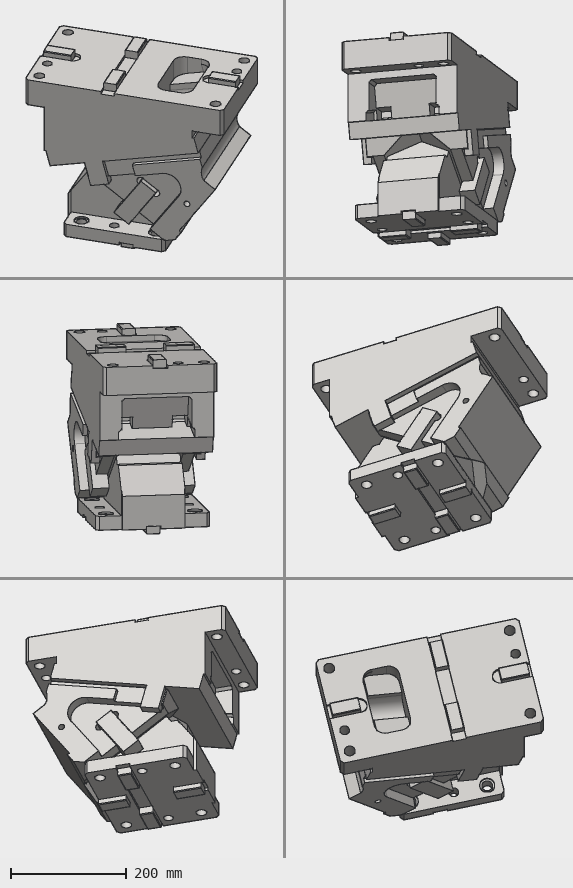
import cadquery as cq
import math


half_width = 100.0
overlap = 1.0
reach = 180.0

guide_angle = math.radians(15)
drive_angle = math.radians(35)
guide_x, guide_z = -39.0, 160.9

plate_half_length = 180.0
plate_bottom, plate_top = 249.5, 299.0
corner_chamfer = 5.6

key_rise = 9.5
key_seat = 5.0
key_length = 49.5
key_width = 24.0
key_slot_width = 26.0
key_chamfer = 1.5


def guide_point(u, v):
    """(X, Z) of a point u along the guide plane and v above it."""
    return (guide_x + u * math.cos(guide_angle) - v * math.sin(guide_angle),
            guide_z + u * math.sin(guide_angle) + v * math.cos(guide_angle))


def drive_point(s, n):
    """(X, Z) of a point s down the driver slope and n along its normal."""
    return (s * math.cos(drive_angle) + n * math.sin(drive_angle),
            -s * math.sin(drive_angle) + n * math.cos(drive_angle))


def slope_end_x(s, z):
    """X of the point at height z whose station along the driver slope is s."""
    return (s + z * math.sin(drive_angle)) / math.cos(drive_angle)


def guide_height(u, n):
    """Height above the guide plane, at station u, of the point with slope normal height n."""
    x0, z0 = guide_point(u, 0)
    n0 = x0 * math.sin(drive_angle) + z0 * math.cos(drive_angle)
    return (n - n0) / math.cos(guide_angle + drive_angle)


def guide_drive_point(v, s):
    """(X, Z) where the line at height v above the guide plane meets the line at slope station s."""
    x0, z0 = guide_point(0, v)
    s0 = x0 * math.cos(drive_angle) - z0 * math.sin(drive_angle)
    u = (s - s0) / math.cos(guide_angle + drive_angle)
    return guide_point(u, v)


def box(x0, x1, y0, y1, z0, z1):
    return cq.Workplane("XY").box(x1 - x0, y1 - y0, z1 - z0, centered=False).translate((x0, y0, z0))


def extrude_y(outline, y0, y1):
    """Extrude a closed XZ outline from y0 to y1."""
    return outline.extrude(y1 - y0).translate((0, y1, 0))


def prism(points, y0, y1):
    return extrude_y(cq.Workplane("XZ").polyline(points).close(), y0, y1)


def both_sides(shape):
    return shape.union(shape.mirror("XZ"))


def guide_rect(u0, u1, v0, v1):
    return [guide_point(u0, v0), guide_point(u1, v0), guide_point(u1, v1), guide_point(u0, v1)]


def drive_rect(s0, s1, n0, n1):
    return [drive_point(s0, n0), drive_point(s1, n0), drive_point(s1, n1), drive_point(s0, n1)]


def guide_extrusion(section, u0, u1):
    """Extrude a section of (Y, height above the guide plane) points along the guide plane."""
    x, z = guide_point(u0, 0)
    plane = cq.Plane(origin=(x, 0, z), xDir=(0, 1, 0),
                     normal=(math.cos(guide_angle), 0, math.sin(guide_angle)))
    return cq.Workplane(plane).polyline(section).close().extrude(u1 - u0)


def key_along_x(x0, z0, z1, outer_edge):
    key = box(x0, x0 + key_length, -key_width / 2, key_width / 2, z0, z1)
    return key.edges(outer_edge).chamfer(key_chamfer)


def keys_along_y(x0, x1, y_centre, z0, z1, outer_edge):
    key = box(x0, x1, y_centre - key_length / 2, y_centre + key_length / 2, z0, z1)
    return both_sides(key.edges(outer_edge).chamfer(key_chamfer))


def drill(x, y, diameter, z0, z1):
    return cq.Workplane("XY", origin=(x, y, z0)).circle(diameter / 2).extrude(z1 - z0)


body_left, body_right = -145.0, 124.0
guide_plate_left, guide_plate_right = -98.5, 180.0
guide_plate_thickness = 29.5
leg_length = 34.0
leg_depth = 44.5
flange_half_width = 92.0
flange_thickness = 33.0
hook_half_width = 85.0

top_slot_x = (-42.0, -18.0)
top_cross_key_y = 60.0
top_key_slot_length = 68.5
mount_x, mount_y, mount_diameter = 160.0, 80.0, 18.5
dowel_y_left, dowel_y_right, dowel_diameter = -35.0, 40.0, 16.5


def housing_body():
    plate = box(-plate_half_length, plate_half_length, -half_width, half_width, plate_bottom, plate_top)
    plate = plate.edges("|Z").chamfer(corner_chamfer)
    shoulder = guide_point(guide_plate_left, guide_plate_thickness)
    right_top = guide_point(guide_plate_right, guide_plate_thickness)
    web = prism([
        (body_left, plate_bottom + overlap),
        (body_left, shoulder[1]),
        shoulder,
        guide_point(guide_plate_left, 0),
        guide_point(guide_plate_right, 0),
        right_top,
        (body_right, right_top[1]),
        (body_right, plate_bottom + overlap),
    ], -half_width, half_width)
    leg = prism(guide_rect(-leg_length, 0, -leg_depth, overlap), flange_half_width, half_width)
    hook = prism(guide_rect(-leg_length, 0, -leg_depth, -flange_thickness), hook_half_width, half_width)
    return plate.union(web).union(both_sides(leg)).union(both_sides(hook))


pocket_half_width, pocket_top = 61.5, 236.5
pocket_corner = 5.0
pocket_foot_half_width, pocket_foot_height = 67.0, 18.0
pocket_back = -55.0
pocket_foot_chamfer = 4.0
port_inner, port_floor_length = 35.0, 21.0
port_ramp_rise, port_top = 4.0, 196.0


def spring_pocket():
    floor, back = guide_plate_thickness, pocket_back
    mouth_u = 2 * guide_plate_left
    tall = prism(guide_rect(mouth_u, back, floor, plate_top), -pocket_half_width, pocket_half_width)
    opening = box(-reach, reach, -pocket_half_width, pocket_half_width, 0, pocket_top)
    tall = tall.intersect(opening.edges("|X and >Z").chamfer(pocket_corner))
    foot_side, foot_top, bevel = pocket_foot_half_width, floor + pocket_foot_height, pocket_foot_chamfer
    foot = guide_extrusion([
        (-foot_side, floor),
        (foot_side, floor),
        (foot_side, foot_top - bevel),
        (foot_side - bevel, foot_top),
        (bevel - foot_side, foot_top),
        (-foot_side, foot_top - bevel),
    ], mouth_u, back)
    ramp_foot = guide_point(back + port_floor_length, floor)
    ramp_head_x = ramp_foot[0] + port_ramp_rise * math.tan(drive_angle)
    port = prism([
        guide_point(back - pocket_foot_height, floor),
        ramp_foot,
        (ramp_head_x, ramp_foot[1] + port_ramp_rise),
        (ramp_head_x, port_top),
        (guide_point(back, floor)[0] - pocket_foot_height, port_top),
    ], port_inner, pocket_half_width)
    return tall.union(foot).union(both_sides(port))


window_x = (44.0, 108.0)
window_half_width, window_corner = 61.5, 19.0
window_rim = 10.0
block_end_x, block_end_z = 104.0, 277.5
block_gap_depth = 50.0
trough_radius, trough_drop = 23.5, 11.5


def rounded_shaft(x0, x1, z0, edges):
    """Vertical shaft up through the top face with the chosen upright corners rounded."""
    shaft = box(x0, x1, -window_half_width, window_half_width, z0, plate_top + overlap)
    return shaft.edges(edges).fillet(window_corner)


def chamber_limit(rim_z):
    """Space left of the chamber's far wall, which stands square to the guide plane, corners rounded."""
    x1 = window_x[1]
    wall_u = (x1 - guide_x) * math.cos(guide_angle) + (rim_z - guide_z) * math.sin(guide_angle)
    space = prism(guide_rect(0, wall_u, 0, plate_top), -window_half_width, window_half_width)
    wall_edges = cq.selectors.ParallelDirSelector(cq.Vector(-math.sin(guide_angle), 0, math.cos(guide_angle)))
    return space.edges(wall_edges).edges(">X").fillet(window_corner)


def top_window():
    x0, x1 = window_x
    rim_z = plate_top - window_rim
    rim = rounded_shaft(x0, x1, rim_z, "|Z")

    lean = math.tan(guide_angle)
    gap_bottom = rim_z - block_gap_depth
    block_left_z = block_end_z - (block_end_x - x0) * lean
    far_x = x1 + block_gap_depth
    chamber = prism([
        (x0, rim_z),
        (far_x, rim_z),
        (far_x, gap_bottom),
        (block_end_x + (block_end_z - gap_bottom) * lean, gap_bottom),
        (block_end_x, block_end_z),
        (x0, block_left_z),
    ], -window_half_width, window_half_width)
    chamber = chamber.intersect(rounded_shaft(x0, far_x, 0, "|Z and <X"))

    along = cq.Vector(math.cos(guide_angle), 0, math.sin(guide_angle))
    axis_start = cq.Vector(x0, 0, block_left_z - trough_drop)
    run = far_x - x0
    bore = cq.Workplane(cq.Solid.makeCylinder(trough_radius, 2 * run, axis_start - along * run, along))
    slot_rise = run * lean
    slot = prism([
        (x0, block_left_z),
        (far_x, block_left_z + slot_rise),
        (far_x, block_left_z + slot_rise - trough_drop),
        (x0, block_left_z - trough_drop),
    ], -trough_radius, trough_radius)
    trough = bore.union(slot).intersect(box(x0, far_x, -trough_radius, trough_radius, 0, rim_z))
    return rim.union(chamber.union(trough).intersect(chamber_limit(rim_z)))


def top_key_slots():
    seat_z = plate_top - key_seat
    slots = box(*top_slot_x, -half_width, half_width, seat_z, plate_top + overlap)
    for side in (-1, 1):
        end_centre = side * (plate_half_length - top_key_slot_length + key_slot_width / 2)
        run = plate_half_length - abs(end_centre)
        centre_x = end_centre + side * run / 2
        slot = cq.Workplane("XY", origin=(centre_x, 0, seat_z)).rect(run, key_slot_width)
        slot = slot.extrude(key_seat + overlap)
        slots = slots.union(slot).union(
            drill(end_centre, 0, key_slot_width, seat_z, plate_top + overlap))
    return slots


def top_keys():
    seat_z, crown_z = plate_top - key_seat, plate_top + key_rise
    keys = keys_along_y(*top_slot_x, top_cross_key_y, seat_z, crown_z, "|Y and >Z")
    end_x = plate_half_length - corner_chamfer
    for x0 in (-end_x, end_x - key_length):
        keys = keys.union(key_along_x(x0, seat_z, crown_z, "|X and >Z"))
    return keys


def top_holes():
    span = (plate_bottom - overlap, plate_top + overlap)
    holes = drill(-mount_x, dowel_y_left, dowel_diameter, *span)
    holes = holes.union(drill(mount_x, dowel_y_right, dowel_diameter, *span))
    for x in (-mount_x, mount_x):
        for y in (-mount_y, mount_y):
            holes = holes.union(drill(x, y, mount_diameter, *span))
    return holes


housing = housing_body().cut(spring_pocket()).cut(top_window()).cut(top_key_slots()).cut(top_holes())
housing = housing.union(top_keys())


slide_left_u, slide_right_u = -36.5, 180.0
slide_edge_chamfer = 1.5
cheek_half_width = 81.0
plate_left_u, plate_edge_v = 53.0, -12.0
slide_nose_v = -28.5
roof_eave_n = 61.4
roof_half_width = 58.0
roof_clearance = 2.5
roof_angle = math.radians(30)
pocket_wall_s, pocket_radius = 15.2, 27.0
face_s, face_top_n, face_bottom_n = 55.3, 210.1, 96.6
toe_s, toe_n = 59.8, 76.6
throat_mid = (140.5, 169.5)
throat_end_s = 30.2
cheek_hole_x, cheek_hole_z, cheek_hole_diameter, cheek_hole_depth = 114.5, 103.2, 10.5, 20.0
drill_tip_angle = math.radians(31)

bar_s = (-50.3, -17.3)
bar_n = (34.6, 120.6)
bar_y = (61.0, 90.0)
relief_radius, relief_n = 7.0, 114.6


def roof_prism(station_0, station_1, half_span):
    """Roof-shaped bar along the slope, with its eaves at the slide underside."""
    ridge = half_span * math.tan(roof_angle)
    x, z = drive_point(station_0, roof_eave_n)
    plane = cq.Plane(origin=(x, 0, z), xDir=(0, 1, 0),
                     normal=(math.cos(drive_angle), 0, -math.sin(drive_angle)))
    section = [(-half_span, 0), (half_span, 0), (0, ridge)]
    return cq.Workplane(plane).polyline(section).close().extrude(station_1 - station_0)


def slide_block():
    toe_run = (toe_n - roof_eave_n) / math.tan(guide_angle + drive_angle)
    profile = (
        cq.Workplane("XZ").moveTo(*guide_point(slide_left_u, 0))
        .lineTo(*guide_point(slide_right_u, 0))
        .lineTo(*guide_point(slide_right_u, slide_nose_v))
        .threePointArc(throat_mid, drive_point(throat_end_s, face_top_n))
        .lineTo(*drive_point(face_s, face_top_n))
        .lineTo(*drive_point(face_s, face_bottom_n))
        .lineTo(*drive_point(toe_s, face_bottom_n))
        .lineTo(*drive_point(toe_s, toe_n))
        .lineTo(*drive_point(toe_s - toe_run, roof_eave_n))
        .lineTo(*guide_point(slide_left_u, guide_height(slide_left_u, roof_eave_n)))
        .close()
    )
    return extrude_y(profile, -half_width, half_width)


def slide_side_cuts():
    """Material removed on the +Y side: flange step, side pocket and top edge chamfer."""
    far = half_width + overlap
    above_plate = prism(guide_rect(slide_left_u - overlap, slide_right_u + overlap, plate_edge_v, overlap),
                        flange_half_width, far)
    left_of_plate = prism(guide_rect(slide_left_u - overlap, plate_left_u, -flange_thickness, overlap),
                          flange_half_width, far)
    corner = guide_drive_point(-flange_thickness, pocket_wall_s)
    pocket = prism([
        guide_point(2 * slide_left_u, -flange_thickness),
        corner,
        drive_point(pocket_wall_s, 0),
        drive_point(-reach, 0),
    ], cheek_half_width, far)
    pocket = pocket.edges(cq.selectors.NearestToPointSelector(
        (corner[0], (cheek_half_width + far) / 2, corner[1]))).fillet(pocket_radius)
    bevel = slide_edge_chamfer
    section = [(flange_half_width - bevel, 0), (far, 0), (far, -bevel), (flange_half_width, -bevel)]
    top_bevel = guide_extrusion(section, slide_left_u - overlap, slide_right_u + overlap)
    return above_plate.union(top_bevel).union(left_of_plate).union(pocket)


def bar_seat():
    seat = prism(drive_rect(*bar_s, 0, relief_n + relief_radius), bar_y[0], half_width)
    for s in bar_s:
        x, z = drive_point(s, relief_n)
        relief = cq.Workplane("XZ", origin=(x, half_width, z)).circle(relief_radius)
        seat = seat.union(relief.extrude(half_width - bar_y[0]))
    return seat


def cheek_hole():
    hole = cq.Workplane("XZ", origin=(cheek_hole_x, half_width, cheek_hole_z))
    hole = hole.circle(cheek_hole_diameter / 2).extrude(cheek_hole_depth)
    tip_radius = cheek_hole_diameter / 2
    tip_base = cq.Vector(cheek_hole_x, half_width - cheek_hole_depth, cheek_hole_z)
    tip_length = tip_radius * math.tan(drill_tip_angle)
    tip = cq.Solid.makeCone(tip_radius, 0, tip_length, tip_base, cq.Vector(0, -1, 0))
    return hole.union(cq.Workplane(tip))


slide = slide_block().cut(both_sides(slide_side_cuts()))
slide = slide.cut(roof_prism(-reach, reach, roof_half_width + roof_clearance))
slide = slide.cut(both_sides(bar_seat())).cut(both_sides(cheek_hole()))
slide = slide.union(both_sides(prism(drive_rect(*bar_s, *bar_n), *bar_y)))


base_left, base_right = -110.4, 74.0
base_thickness = 24.5
core_left, core_left_top = -116.0, 59.5
core_half_width, core_front_half_width = 56.0, 55.0
core_shelf_x, core_shelf_z = -82.0, 107.5
driver_s = (-119.3, 31.5)
foot_top_chamfer = 3.0
bottom_slot_x = (-8.5, 16.5)
bottom_cross_key_y = 65.0
base_hole_x, base_hole_y = (-84.0, 51.5), 78.3
base_hole_diameter, counterbore_diameter, counterbore_depth = 18.5, 26.0, 3.0
base_dowel_x, base_dowel_diameter = -24.5, 16.5


def base_body():
    foot = box(base_left, base_right, -half_width, half_width, 0, base_thickness)
    foot = foot.edges("|Z").chamfer(corner_chamfer)
    foot = foot.edges("|Y and >X and >Z").chamfer(foot_top_chamfer)
    driver_end_x = slope_end_x(driver_s[1], base_thickness)
    core = prism([
        (core_left, 0),
        (core_left, core_left_top),
        (core_shelf_x, core_shelf_z),
        (slope_end_x(driver_s[0], core_shelf_z), core_shelf_z),
        drive_point(driver_s[0], roof_eave_n),
        drive_point(driver_s[1], roof_eave_n),
        (driver_end_x, base_thickness),
        (driver_end_x, 0),
    ], -core_half_width, core_half_width)
    roof = roof_prism(*driver_s, roof_half_width).intersect(
        box(-reach, reach, -core_half_width, core_half_width, 0, plate_top))
    front_relief = box(core_left, base_left, core_front_half_width, half_width, 0, core_shelf_z)
    return foot.union(core.cut(both_sides(front_relief))).union(roof)


def base_slots():
    half_slot = key_slot_width / 2
    slots = box(*bottom_slot_x, -half_width, half_width, -overlap, key_seat)
    slots = slots.union(box(core_left, base_left + key_length, -half_slot, half_slot, -overlap, key_seat))
    return slots.union(box(base_right - key_length, base_right, -half_slot, half_slot, -overlap, key_seat))


def base_keys():
    keys = keys_along_y(*bottom_slot_x, bottom_cross_key_y, -key_rise, key_seat, "<Z")
    for x0 in (base_left, base_right - key_length):
        keys = keys.union(key_along_x(x0, -key_rise, key_seat, "|X and <Z"))
    return keys


def base_holes():
    holes = drill(base_dowel_x, base_hole_y, base_dowel_diameter, -overlap, base_thickness + overlap)
    for x in base_hole_x:
        holes = holes.union(drill(x, base_hole_y, base_hole_diameter, -overlap, base_thickness))
        holes = holes.union(drill(x, base_hole_y, counterbore_diameter,
                                  base_thickness - counterbore_depth, base_thickness + overlap))
    return both_sides(holes)


base = base_body().cut(base_slots()).cut(base_holes()).union(base_keys())

result = cq.Compound.makeCompound([housing.val(), slide.val(), base.val()])